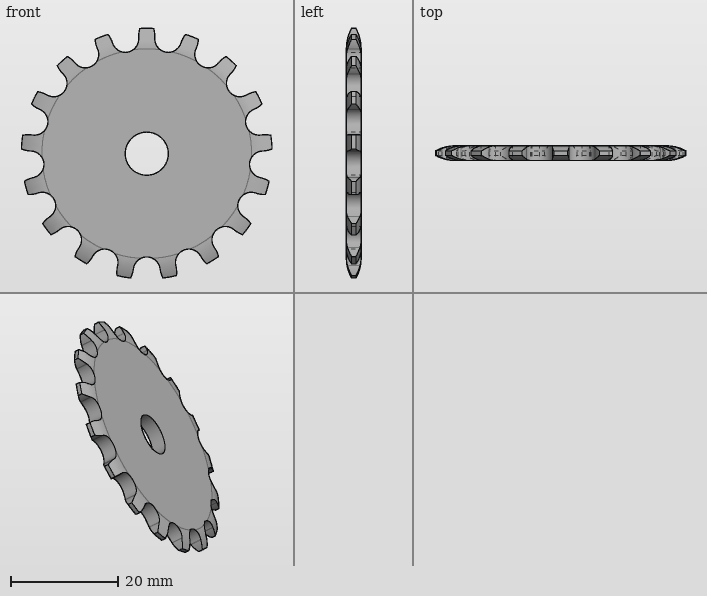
import cadquery as cq
import math

tooth_count = 17
overall_width = 46.75
thickness = 2.8
bore_diameter = 8.0
tip_half_angle = 3.2
pitch_radius = 21.75
seat_radius = 2.5
seat_half_angle = 82.5
flank_radius = 5.43
face_radius = 19.55
side_radius = 8.0

tooth_angle = 360 / tooth_count
half_thickness = thickness / 2

widest_tooth_angle = round(tooth_count / 4) * tooth_angle
widest_corner_angle = 90 - widest_tooth_angle - tip_half_angle
tip_radius = overall_width / 2 / math.cos(math.radians(widest_corner_angle))


def side_setback(radius):
    """Axial distance from the flat face to the rounded tooth side at a given wheel radius."""
    return side_radius - math.sqrt(side_radius**2 - (radius - face_radius) ** 2)


def make_blank():
    """Revolve the wheel section, with a bore and with both sides rounded towards the tip."""
    bore_radius = bore_diameter / 2
    middle_radius = (face_radius + tip_radius) / 2
    tip_half = half_thickness - side_setback(tip_radius)
    middle_half = half_thickness - side_setback(middle_radius)
    return (
        cq.Workplane("XY")
        .moveTo(bore_radius, -half_thickness)
        .lineTo(face_radius, -half_thickness)
        .threePointArc((middle_radius, -middle_half), (tip_radius, -tip_half))
        .lineTo(tip_radius, tip_half)
        .threePointArc((middle_radius, middle_half), (face_radius, half_thickness))
        .lineTo(bore_radius, half_thickness)
        .close()
        .revolve(360, (0, 0, 0), (0, 1, 0))
    )


def flank_point(angle):
    """Point on the +X flank of an upright gap; the angle gives the direction of its normal."""
    seat_angle = math.radians(seat_half_angle)
    center_distance = seat_radius + flank_radius
    center_x = center_distance * math.sin(seat_angle)
    center_z = pitch_radius - center_distance * math.cos(seat_angle)
    normal = math.radians(angle)
    return center_x - flank_radius * math.sin(normal), center_z + flank_radius * math.cos(normal)


def make_gap():
    """Cutter for the gap centred on +Z: a roller seat opening out along two convex flanks."""
    flank_sweep = 25
    start = flank_point(seat_half_angle)
    middle = flank_point(seat_half_angle - flank_sweep / 2)
    end = flank_point(seat_half_angle - flank_sweep)

    def mirrored(point):
        return -point[0], point[1]

    return (
        cq.Workplane("XZ")
        .moveTo(*mirrored(start))
        .threePointArc((0, pitch_radius - seat_radius), start)
        .threePointArc(middle, end)
        .lineTo(*mirrored(end))
        .threePointArc(mirrored(middle), mirrored(start))
        .close()
        .extrude(half_thickness, both=True)
    )


result = make_blank()
gap = make_gap()
for index in range(tooth_count):
    gap_angle = (index + 0.5) * tooth_angle
    result = result.cut(gap.rotate((0, 0, 0), (0, 1, 0), gap_angle))